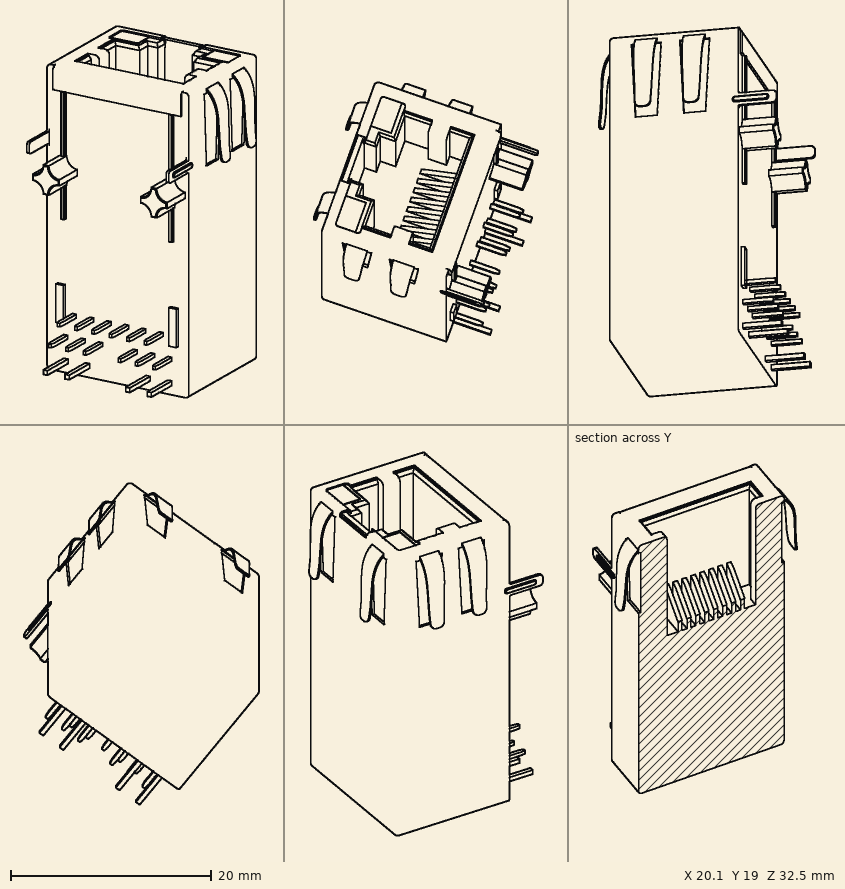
import cadquery as cq
import math

BODY_W = 16.6
BODY_D = 13.32
BODY_H = 32.5
EDGE_R = 0.45

SHIELD_T = 0.2
CAVITY_DEPTH = 13.0
CAVITY_BOTTOM_Y = 2.55
LEAD_IN = 0.25
LEAD_IN_H = 0.4
SHIELD_GAP = 0.13
CAVITY_STEPS = [(5.95, 9.4), (3.2, 11.02), (2.0, 12.3)]
NOTCH_HALF_W = 2.47
NOTCH_WALL_DROP = 0.45
BACK_SLOPE_H = 1.1

LIGHT_OUTER_X = 7.0
LIGHT_INNER_X = 3.77
LIGHT_Y = (10.08, 12.22)
LIGHT_WINDOW_BOTTOM_Y = 9.62
LIGHT_WINDOW_R = 0.3
LIGHT_RISE = 0.05

LUG_TIP_X = 5.0
LUG_Y = (4.65, 6.6)
LUG_BEND_R = 0.52

CONTACT_COUNT = 8
CONTACT_ROW_W = 7.12
CONTACT_W = 0.5
CONTACT_Y = (2.65, 3.25, 6.85)
CONTACT_FOOT_H = 3.9
CONTACT_BEND_H = 3.58

LATCH_REACH = 1.75
LATCH_T = 0.15
LATCH_ROOT_T = 0.1
LATCH_TOP_Z = 31.95
LATCH_TIP_Z = 24.18
LATCH_BOW = [(0.85, 30.95), (1.35, 28.7), (1.45, 26.0)]
LATCH_W = (2.25, 1.53)
LATCH_TIP_R = 0.6
LATCH_WINDOW_Z = (23.72, 31.5)
LATCH_WINDOW_W = (3.05, 2.25)
LATCH_WINDOW_DEPTH = 0.25
SIDE_LATCH_Y = (4.5, 9.45)
BACK_LATCH_SPACING = 9.72

FLAP_W = 14.95
FLAP_BOTTOM_Z = 29.95
FLAP_T = 0.23
FLAP_R = 0.5
RIB_X = 6.3
RIB_W = 0.5
RIB_CHAMFER = 0.115
RIB_BOTTOM_Z = 16.4
STANDOFF = 0.35
POST_Z = 21.58
POST_LEN = 3.55
POST_REACH = 1.55
POST_TIP_HALF_W = 0.32
POST_CONCAVE = 0.68
POST_CHAMFER = 0.1
PAD_X = 6.6
PAD_W = 0.88
PAD_Z = (5.3, 9.4)

TAB_Z = 24.73
TAB_W = 1.27
TAB_T = 0.3
TAB_LEN = 3.93
TAB_TIP_R = 0.42
TAB_ROOT_R = 0.23
BEAD_Y = (-3.12, 0.6)
BEAD_W = 0.6
BEAD_H = 0.13
BEAD_CHAMFER = 0.1

SIGNAL_ROW_W = 37.5
PIN_PITCH = SIGNAL_ROW_W / 6
SIGNAL_PIN_W = 0.45
SIGNAL_PIN_H = 0.4
SIGNAL_PIN_LEN = 3.1
SIGNAL_PIN_TAPER = (0.08, 0.5)
UPPER_ROW_Z = 6.27
LOWER_ROW_Z = 3.85
POWER_PIN_W = 0.5
POWER_PIN_LEN = 3.95
POWER_PIN_Z = 1.27
POWER_PIN_X = (3.55, 6.08)

EMBED = 0.32
HALF_W = BODY_W / 2
CAVITY_FLOOR_Z = BODY_H - CAVITY_DEPTH
PLASTIC_TOP_Z = BODY_H - SHIELD_T


def block(x_range, y_range, z_range):
    """Axis-aligned box between the given limits."""
    size = [high - low for low, high in (x_range, y_range, z_range)]
    return cq.Workplane("XY").box(*size, centered=False).translate((x_range[0], y_range[0], z_range[0]))


def mirrored(shape):
    """The shape together with its mirror image across the YZ plane."""
    return shape.union(shape.mirror("YZ"))


def housing():
    body = block((-HALF_W, HALF_W), (0, BODY_D), (0, BODY_H))
    return body.edges("|Y or >Z or <Z or >Y").edges("not <Y").fillet(EDGE_R)


def opening_outline(growth):
    """Corner points of the stepped opening, grown outwards by the given amount."""
    right = [(CAVITY_STEPS[0][0] + growth, CAVITY_BOTTOM_Y - growth)]
    for index, (half_w, top_y) in enumerate(CAVITY_STEPS):
        right.append((half_w + growth, top_y + growth))
        if index + 1 < len(CAVITY_STEPS):
            right.append((CAVITY_STEPS[index + 1][0] + growth, top_y + growth))
    return right + [(-x, y) for x, y in reversed(right)]


def plug_opening():
    cavity = (
        cq.Workplane("XY", origin=(0, 0, CAVITY_FLOOR_Z))
        .polyline(opening_outline(0)).close().extrude(CAVITY_DEPTH)
    )
    lead_in = (
        cq.Workplane("XY", origin=(0, 0, PLASTIC_TOP_Z - LEAD_IN_H))
        .polyline(opening_outline(0)).close()
        .workplane(offset=LEAD_IN_H)
        .polyline(opening_outline(LEAD_IN)).close()
        .loft(ruled=True)
    )
    edge = LEAD_IN + SHIELD_GAP
    shield_cut = block(
        (-CAVITY_STEPS[0][0] - edge, CAVITY_STEPS[0][0] + edge),
        (CAVITY_BOTTOM_Y - edge, LIGHT_WINDOW_BOTTOM_Y),
        (PLASTIC_TOP_Z, BODY_H),
    )
    light_window = block(
        (-LIGHT_OUTER_X, LIGHT_OUTER_X), (LIGHT_WINDOW_BOTTOM_Y, LIGHT_Y[1]), (PLASTIC_TOP_Z, BODY_H)
    ).edges("|Z").fillet(LIGHT_WINDOW_R)
    return cavity.union(lead_in).union(shield_cut).union(light_window)


def back_slope():
    """Long lead-in slope on the back wall of the opening."""
    half_w, wall_y = CAVITY_STEPS[-1]
    return (
        cq.Workplane("YZ", origin=(-half_w, 0, 0))
        .moveTo(wall_y, PLASTIC_TOP_Z - BACK_SLOPE_H)
        .lineTo(wall_y + LEAD_IN, PLASTIC_TOP_Z)
        .lineTo(wall_y, PLASTIC_TOP_Z)
        .close().extrude(2 * half_w)
    )


def back_notch():
    """Gap in the back rim of the shield, stepping down across the shield's back wall."""
    x_range = (-NOTCH_HALF_W, NOTCH_HALF_W)
    rim_gap = block(x_range, (CAVITY_STEPS[-1][1], BODY_D), (PLASTIC_TOP_Z, BODY_H))
    wall_gap = block(x_range, (BODY_D - SHIELD_T, BODY_D), (BODY_H - NOTCH_WALL_DROP, BODY_H))
    return rim_gap.union(wall_gap)


def light():
    return block(
        (LIGHT_INNER_X, LIGHT_OUTER_X), LIGHT_Y, (PLASTIC_TOP_Z - EMBED, PLASTIC_TOP_Z + LIGHT_RISE)
    )


def lug():
    lug_block = block((LUG_TIP_X, CAVITY_STEPS[0][0] + 2 * EMBED), LUG_Y, (CAVITY_FLOOR_Z, BODY_H))
    return lug_block.edges("<X and >Z").fillet(LUG_BEND_R)


def contacts():
    foot_y, bend_y, tip_y = CONTACT_Y
    floor = CAVITY_FLOOR_Z - EMBED
    profile = (
        cq.Workplane("YZ", origin=(-CONTACT_W / 2, 0, 0))
        .moveTo(foot_y, floor)
        .lineTo(foot_y, CAVITY_FLOOR_Z + CONTACT_FOOT_H)
        .lineTo(bend_y, CAVITY_FLOOR_Z + CONTACT_BEND_H)
        .lineTo(tip_y, CAVITY_FLOOR_Z)
        .lineTo(tip_y, floor)
        .close().extrude(CONTACT_W)
    )
    pitch = CONTACT_ROW_W / (CONTACT_COUNT - 1)
    row = cq.Workplane("XY")
    for index in range(CONTACT_COUNT):
        row = row.union(profile.translate((index * pitch - CONTACT_ROW_W / 2, 0, 0)))
    return row


def latch():
    """Spring latch on a wall in the plane X = 0, reaching towards +X, centred on Y = 0.

    The strip is what remains of the region under the bow after removing its shifted copy.
    """
    under_bow = (
        cq.Workplane("XZ", origin=(0, LATCH_W[0] / 2, 0))
        .moveTo(-EMBED, LATCH_TOP_Z)
        .lineTo(0, LATCH_TOP_Z)
        .spline([*LATCH_BOW, (LATCH_REACH, LATCH_TIP_Z)], includeCurrent=True)
        .lineTo(-EMBED, LATCH_TIP_Z)
        .close().extrude(LATCH_W[0])
    )
    side = under_bow.cut(under_bow.translate((-LATCH_T, 0, -LATCH_ROOT_T)))
    face = tapered_plate(LATCH_W, (LATCH_TIP_Z, LATCH_TOP_Z), LATCH_REACH)
    return side.intersect(face.edges("|X and <Z").fillet(LATCH_TIP_R))


def tapered_plate(widths, z_range, outer_x):
    """Plate with its top and bottom widths given, from X = -EMBED to outer_x."""
    top, bottom = (width / 2 for width in widths)
    low, high = z_range
    return (
        cq.Workplane("YZ", origin=(-EMBED, 0, 0))
        .polyline([(-bottom, low), (bottom, low), (top, high), (-top, high)]).close()
        .extrude(outer_x + EMBED)
    )


def latch_window():
    """Recess in the wall behind a latch, in the same position as the latch."""
    window = tapered_plate(LATCH_WINDOW_W, LATCH_WINDOW_Z, EMBED)
    return window.translate((EMBED - LATCH_WINDOW_DEPTH, 0, 0))


def at_latch_places(shape):
    """Copies of the shape at the two latches of each side wall and the two of the back wall."""
    side_pair = cq.Workplane("XY")
    for y in SIDE_LATCH_Y:
        side_pair = side_pair.union(shape.translate((HALF_W, y, 0)))
    back = shape.rotate((0, 0, 0), (0, 0, 1), 90).translate((BACK_LATCH_SPACING / 2, BODY_D, 0))
    return mirrored(side_pair.union(back))


def flap_seat():
    """Front top edge of the housing that gives way to the rounded flap."""
    return block((-FLAP_W / 2, FLAP_W / 2), (0, EDGE_R), (FLAP_BOTTOM_Z, BODY_H))


def flap():
    strip = block((-FLAP_W / 2, FLAP_W / 2), (-FLAP_T, EDGE_R), (FLAP_BOTTOM_Z, BODY_H))
    return strip.edges("<Y and >Z").fillet(FLAP_R)


def rib():
    strip = block(
        (RIB_X - RIB_W / 2, RIB_X + RIB_W / 2), (-STANDOFF, EMBED), (RIB_BOTTOM_Z, FLAP_BOTTOM_Z)
    )
    return strip.edges("<Y and |Z").chamfer(RIB_CHAMFER)


def quarter_turns(x, y, turns):
    """The point turned about the origin by a number of quarter turns."""
    angle = turns * math.pi / 2
    return (x * math.cos(angle) - y * math.sin(angle), x * math.sin(angle) + y * math.cos(angle))


def post():
    """Locating post with a four-pointed star section."""
    outline = cq.Workplane("XZ", origin=(RIB_X, EMBED, POST_Z)).moveTo(POST_REACH, -POST_TIP_HALF_W)
    for turns in range(4):
        outline = outline.lineTo(*quarter_turns(POST_REACH, POST_TIP_HALF_W, turns))
        outline = outline.threePointArc(
            quarter_turns(POST_CONCAVE, POST_CONCAVE, turns),
            quarter_turns(POST_TIP_HALF_W, POST_REACH, turns),
        )
    star = outline.close().extrude(POST_LEN + EMBED)
    return star.faces("<Y").chamfer(POST_CHAMFER)


def pad():
    return block((PAD_X - PAD_W / 2, PAD_X + PAD_W / 2), (-STANDOFF, EMBED), PAD_Z)


def board_tab():
    """Flat solder tab with a flared root and a raised bead, in the plane of the side wall."""
    z_range = (TAB_Z - TAB_W / 2, TAB_Z + TAB_W / 2)
    x_range = (HALF_W - TAB_T, HALF_W)
    tab = block(x_range, (-TAB_LEN, EMBED), z_range).edges("<Y and |X").fillet(TAB_TIP_R)
    for side in (-1, 1):
        edge_z = TAB_Z + side * TAB_W / 2
        flare = (
            cq.Workplane("YZ", origin=(x_range[0], 0, 0))
            .moveTo(0, edge_z + side * TAB_ROOT_R)
            .radiusArc((-TAB_ROOT_R, edge_z), side * TAB_ROOT_R)
            .lineTo(0, edge_z)
            .close().extrude(TAB_T)
        )
        tab = tab.union(flare)
    bead = (
        cq.Workplane("YZ", origin=(HALF_W - TAB_T / 2, 0, 0))
        .center(sum(BEAD_Y) / 2, TAB_Z)
        .slot2D(BEAD_Y[1] - BEAD_Y[0], BEAD_W)
        .extrude(TAB_T / 2 + BEAD_H)
        .faces(">X").chamfer(BEAD_CHAMFER)
    )
    return tab.union(bead)


def signal_pin(x, z):
    """Rectangular pin whose tip narrows in width only."""
    inset, taper_len = SIGNAL_PIN_TAPER
    half = SIGNAL_PIN_W / 2
    outline = [
        (-half, EMBED), (half, EMBED), (half, taper_len - SIGNAL_PIN_LEN), (half - inset, -SIGNAL_PIN_LEN),
        (inset - half, -SIGNAL_PIN_LEN), (-half, taper_len - SIGNAL_PIN_LEN),
    ]
    bar = cq.Workplane("XY").polyline(outline).close().extrude(SIGNAL_PIN_H)
    return bar.translate((x, 0, z - SIGNAL_PIN_H / 2))


def power_pin(x):
    half = POWER_PIN_W / 2
    return block((x - half, x + half), (-POWER_PIN_LEN, EMBED), (POWER_PIN_Z - half, POWER_PIN_Z + half))


def pins():
    """Right half of the three pin rows."""
    group = cq.Workplane("XY")
    for step in (0.32, 0.65, 0.98):
        group = group.union(signal_pin((step - 0.15) * PIN_PITCH, UPPER_ROW_Z))
        group = group.union(signal_pin(step * PIN_PITCH, LOWER_ROW_Z))
    for x in POWER_PIN_X:
        group = group.union(power_pin(x))
    return group


result = housing()
for recess in (plug_opening(), back_slope(), back_notch(), at_latch_places(latch_window()), flap_seat()):
    result = result.cut(recess)
for feature in (at_latch_places(latch()), flap(), contacts()):
    result = result.union(feature)
for feature in (light(), lug(), rib(), post(), pad(), board_tab(), pins()):
    result = result.union(mirrored(feature))